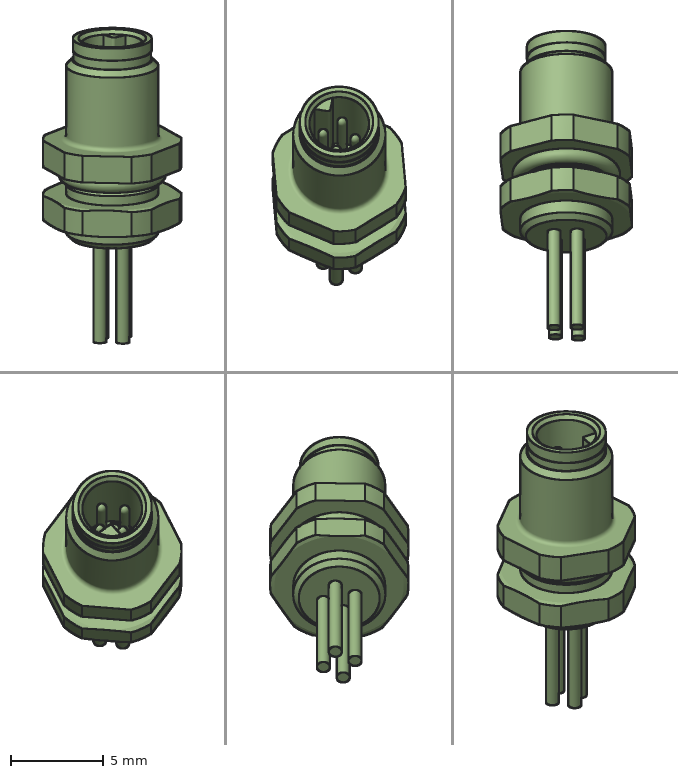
import cadquery as cq
import math


total_height = 16.97
rim_bottom_z = 16.29
shoulder_z = 15.78
flange_top_z = 11.3
hex_thickness = 1.5
flange_bottom_z = flange_top_z - hex_thickness
nut_bottom_z = 6.77
body_bottom_z = 5.77

body_radius = 2.5
rim_radius = 2.14
groove_radius = 2.1
shoulder_chamfer = 0.34
root_fillet = 0.25
neck_radius = 2.22
neck_bottom_z = 8.96
neck_chamfer_height = 0.17
bottom_chamfer = 0.3

hex_sides = 6
hex_across_flats = 7.01
hex_corner_radius = 3.75
hex_corner_angle = 45.0
nut_chamfer_height = 0.07

seal_tube_radius = 0.4
seal_outer_radius = 2.92

socket_radius = 1.61
socket_mouth_radius = 1.83
socket_chamfer = socket_mouth_radius - socket_radius
socket_floor_z = flange_top_z
key_offset = 0.63
key_fillet = 0.14
dimple_radius = 0.32
dimple_offset = 0.85
dimple_depth = 0.17

contact_count = 4
contact_circle_radius = 0.88
pin_radius = 0.25
pin_tip_z = 15.51
wire_radius = 0.35
short_wire_end_z = 0.1
long_wire_index = 2
contact_embed = 0.34


def cylinder(radius, bottom_z, top_z, x=0.0, y=0.0):
    disc = cq.Workplane("XY", origin=(x, y, bottom_z)).circle(radius)
    return disc.extrude(top_z - bottom_z)


def make_body():
    """Revolve the solid stepped body, including the fillet above the flange."""
    arc_reach = root_fillet * (1 - math.sqrt(0.5))
    shoulder_radius = body_radius - shoulder_chamfer
    return (
        cq.Workplane("XZ")
        .moveTo(0, body_bottom_z)
        .lineTo(body_radius - bottom_chamfer, body_bottom_z)
        .lineTo(body_radius, body_bottom_z + bottom_chamfer)
        .lineTo(body_radius, neck_bottom_z - neck_chamfer_height)
        .lineTo(neck_radius, neck_bottom_z)
        .lineTo(neck_radius, flange_bottom_z)
        .lineTo(body_radius + root_fillet, flange_bottom_z)
        .lineTo(body_radius + root_fillet, flange_top_z)
        .threePointArc(
            (body_radius + arc_reach, flange_top_z + arc_reach),
            (body_radius, flange_top_z + root_fillet),
        )
        .lineTo(body_radius, shoulder_z - shoulder_chamfer)
        .lineTo(shoulder_radius, shoulder_z)
        .lineTo(groove_radius, shoulder_z)
        .lineTo(groove_radius, rim_bottom_z)
        .lineTo(rim_radius, rim_bottom_z)
        .lineTo(rim_radius, total_height)
        .lineTo(0, total_height)
        .close()
        .revolve(360, (0, 0, 0), (0, 1, 0))
    )


def make_hex(bottom_z):
    """Hexagonal plate with its corners rounded to a common circle."""
    across_corners = hex_across_flats / math.cos(math.pi / hex_sides)
    prism = (
        cq.Workplane("XY", origin=(0, 0, bottom_z))
        .polygon(hex_sides, across_corners)
        .extrude(hex_thickness)
        .rotate((0, 0, 0), (0, 0, 1), hex_corner_angle)
    )
    return prism.intersect(cylinder(hex_corner_radius, bottom_z, bottom_z + hex_thickness))


def make_nut():
    """Hexagonal nut, coned on both faces down to the circle touching its flats."""
    face_radius = hex_across_flats / 2
    nut_top_z = nut_bottom_z + hex_thickness
    coned_disc = (
        cq.Workplane("XZ")
        .moveTo(0, nut_bottom_z)
        .lineTo(face_radius, nut_bottom_z)
        .lineTo(hex_corner_radius, nut_bottom_z + nut_chamfer_height)
        .lineTo(hex_corner_radius, nut_top_z - nut_chamfer_height)
        .lineTo(face_radius, nut_top_z)
        .lineTo(0, nut_top_z)
        .close()
        .revolve(360, (0, 0, 0), (0, 1, 0))
    )
    return make_hex(nut_bottom_z).intersect(coned_disc)


def make_seal():
    """O-ring pressed against the underside of the flange."""
    ring_radius = seal_outer_radius - seal_tube_radius
    ring_z = flange_bottom_z - seal_tube_radius
    ring = cq.Solid.makeTorus(ring_radius, seal_tube_radius, cq.Vector(0, 0, ring_z))
    return cq.Workplane(ring)


def make_socket():
    """Cavity with a chamfered mouth; a square key is left standing at (-X, +Y)."""
    chamfer_bottom_z = total_height - socket_chamfer
    bore = cylinder(socket_radius, socket_floor_z, chamfer_bottom_z)
    key = (
        cq.Workplane("XY", origin=(-key_offset, key_offset, socket_floor_z))
        .rect(-socket_radius, socket_radius, centered=False)
        .extrude(chamfer_bottom_z - socket_floor_z)
        .edges("|Z and >X and <Y")
        .fillet(key_fillet)
    )
    mouth = (
        cq.Workplane("XY", origin=(0, 0, chamfer_bottom_z))
        .circle(socket_radius)
        .workplane(offset=socket_chamfer)
        .circle(socket_mouth_radius)
        .loft(ruled=True)
    )
    dimple = cylinder(
        dimple_radius, socket_floor_z - dimple_depth, socket_floor_z, dimple_offset, -dimple_offset
    )
    return bore.cut(key).union(mouth).union(dimple)


def make_pin(x, y):
    """Contact pin with a hemispherical tip."""
    tip_centre_z = pin_tip_z - pin_radius
    shank = cylinder(pin_radius, socket_floor_z - contact_embed, tip_centre_z, x, y)
    tip = cq.Workplane("XY", origin=(x, y, tip_centre_z)).sphere(pin_radius)
    return shank.union(tip)


def make_wire(x, y, end_z):
    return cylinder(wire_radius, end_z, body_bottom_z + contact_embed, x, y)


result = (
    make_body()
    .union(make_hex(flange_bottom_z))
    .union(make_nut())
    .union(make_seal())
    .cut(make_socket())
)
for index in range(contact_count):
    angle = 2 * math.pi * index / contact_count
    x = contact_circle_radius * math.cos(angle)
    y = contact_circle_radius * math.sin(angle)
    wire_end_z = 0.0 if index == long_wire_index else short_wire_end_z
    result = result.union(make_pin(x, y)).union(make_wire(x, y, wire_end_z))